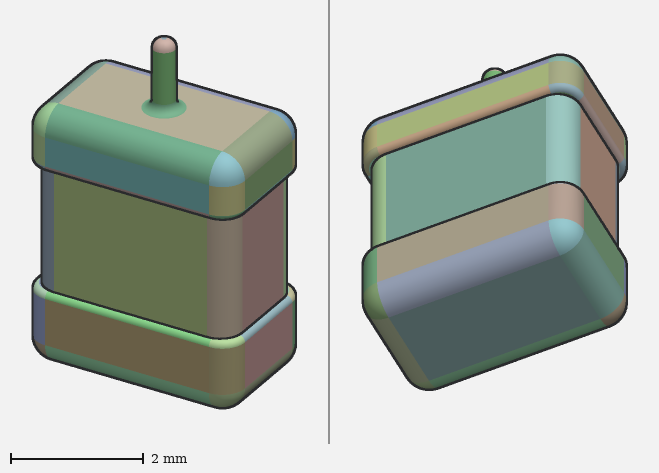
import cadquery as cq

CAP_LENGTH = 3.66
CAP_WIDTH = 2.2
TOTAL_HEIGHT = 5.6

LOWER_CAP_HEIGHT = 1.3
UPPER_CAP_BOTTOM = 3.4
UPPER_CAP_TOP = 4.4
CAP_ROUND = 0.4
CAP_LIP_ROUND = 0.1

BODY_INSET = 0.1
BODY_ROUND = 0.39

PIN_RADIUS = 0.19
PIN_ROUND = 0.15


def rounded_block(length, width, bottom, top, corner_round):
    """Upright block centred on Z with rounded vertical corners."""
    block = cq.Workplane("XY").workplane(offset=bottom).rect(length, width).extrude(top - bottom)
    return block.edges("|Z").fillet(corner_round)


def end_cap(bottom, top, outer_face, lip_face):
    """Cap with a fully rounded outer rim and a small round on its lip."""
    cap = rounded_block(CAP_LENGTH, CAP_WIDTH, bottom, top, CAP_ROUND)
    cap = cap.faces(outer_face).edges().fillet(CAP_ROUND)
    return cap.faces(lip_face).edges().fillet(CAP_LIP_ROUND)


def pin():
    """Revolved pin with a rounded tip and a flared base; its root is buried in the upper cap."""
    root = UPPER_CAP_BOTTOM
    tip_start = TOTAL_HEIGHT - PIN_ROUND
    flare_top = UPPER_CAP_TOP + PIN_ROUND
    flare_radius = PIN_RADIUS + PIN_ROUND
    tip_flat_radius = PIN_RADIUS - PIN_ROUND
    profile = (
        cq.Workplane("XZ")
        .moveTo(0, root)
        .lineTo(flare_radius, root)
        .lineTo(flare_radius, UPPER_CAP_TOP)
        .radiusArc((PIN_RADIUS, flare_top), PIN_ROUND)
        .lineTo(PIN_RADIUS, tip_start)
        .radiusArc((tip_flat_radius, TOTAL_HEIGHT), -PIN_ROUND)
        .lineTo(0, TOTAL_HEIGHT)
        .close()
    )
    return profile.revolve(360, (0, 0), (0, 1))


lower_cap = end_cap(0, LOWER_CAP_HEIGHT, "<Z", ">Z")
upper_cap = end_cap(UPPER_CAP_BOTTOM, UPPER_CAP_TOP, ">Z", "<Z")
body = rounded_block(
    CAP_LENGTH - 2 * BODY_INSET,
    CAP_WIDTH - 2 * BODY_INSET,
    LOWER_CAP_HEIGHT,
    UPPER_CAP_BOTTOM,
    BODY_ROUND,
)

result = lower_cap.union(body).union(upper_cap).union(pin())